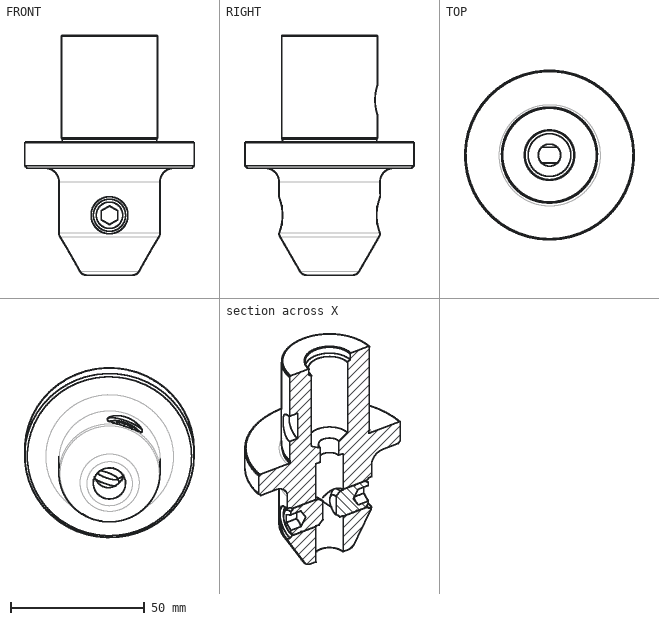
import cadquery as cq
import math

total_height = 90.0
flange_top = 50.0
flange_thickness = 10.0
flange_bottom = flange_top - flange_thickness

shank_radius = 18.0
shank_chamfer = 0.45
relief_depth = 0.3
relief_height = 1.4
relief_floor = 0.2
relief_outer_radius = 19.0

flange_radius = 31.8
flange_top_chamfer = 0.45
flange_bottom_chamfer = 1.0

body_radius = 19.0
body_fillet = 4.95
nose_angle = 30.0
nose_height = 15.1
nose_fillet = 3.0
nose_base_radius = body_radius - nose_height * math.tan(math.radians(nose_angle))

mouth_radius = 9.2
mouth_depth = 3.0
mouth_chamfer = 0.3
upper_bore_radius = 8.0
upper_bore_floor = 54.0
passage_radius = 4.1
drill_half_angle = 59.0
tool_bore_radius = 6.0
tool_bore_depth = 45.0

recess_radius = 5.7
recess_height = 65.7
recess_depth = 3.6

screw_height = 22.5
screw_radius = 6.0
screw_head = 17.4
screw_tip = 2.9
screw_head_chamfer = 1.1
screw_tip_chamfer = 1.8
socket_across_flats = 6.0
socket_depth = 4.5
seat_radius = 6.9
seat_floor = 17.6
screw_sides = [0, 180]


def cone_depth(large_radius, small_radius, half_angle):
    """Axial length of a cone that narrows between two radii."""
    return (large_radius - small_radius) / math.tan(math.radians(half_angle))


def revolve_about_z(profile):
    """Close a half profile drawn on the YZ plane and turn it about Z."""
    return profile.close().revolve(360, (0, 0, 0), (0, 1, 0))


def cylinder_along_y(radius, start, end, height):
    """Cylinder along Y on the -Y side, between two distances from the holder axis."""
    return (
        cq.Workplane("XZ", origin=(0, -end, height))
        .circle(radius)
        .extrude(start - end)
    )


def make_shank_and_flange():
    relief_radius = shank_radius - relief_depth
    return revolve_about_z(
        cq.Workplane("YZ")
        .moveTo(0, total_height)
        .lineTo(-(shank_radius - shank_chamfer), total_height)
        .lineTo(-shank_radius, total_height - shank_chamfer)
        .lineTo(-shank_radius, flange_top + relief_height)
        .lineTo(-relief_radius, flange_top + relief_height - 2 * relief_depth)
        .lineTo(-relief_radius, flange_top - relief_floor)
        .lineTo(-relief_outer_radius, flange_top)
        .lineTo(-(flange_radius - flange_top_chamfer), flange_top)
        .lineTo(-flange_radius, flange_top - flange_top_chamfer)
        .lineTo(-flange_radius, flange_bottom + flange_bottom_chamfer)
        .lineTo(-(flange_radius - flange_bottom_chamfer), flange_bottom)
        .lineTo(0, flange_bottom)
    )


def make_body_and_nose():
    blank = revolve_about_z(
        cq.Workplane("YZ")
        .moveTo(0, flange_bottom)
        .lineTo(-body_radius, flange_bottom)
        .lineTo(-body_radius, nose_height)
        .lineTo(-nose_base_radius, 0)
        .lineTo(0, 0)
    )
    cone_ends = blank.faces("%CONE").edges("%CIRCLE")
    return cone_ends.fillet(nose_fillet)


def make_body_fillet():
    """Ring that rounds the corner between the flange and the body."""
    outer = body_radius + body_fillet
    diagonal = body_fillet * (1 - math.sqrt(0.5))
    return revolve_about_z(
        cq.Workplane("YZ")
        .moveTo(-body_radius, flange_bottom)
        .lineTo(-outer, flange_bottom)
        .threePointArc(
            (-(body_radius + diagonal), flange_bottom - diagonal),
            (-body_radius, flange_bottom - body_fillet),
        )
    )


def make_axial_bore():
    ledge = total_height - mouth_depth
    bore_top = ledge - cone_depth(mouth_radius, upper_bore_radius, drill_half_angle)
    cone_end = upper_bore_floor - cone_depth(upper_bore_radius, passage_radius, drill_half_angle)
    return revolve_about_z(
        cq.Workplane("YZ")
        .moveTo(0, total_height)
        .lineTo(-(mouth_radius + mouth_chamfer), total_height)
        .lineTo(-mouth_radius, total_height - mouth_chamfer)
        .lineTo(-mouth_radius, ledge)
        .lineTo(-upper_bore_radius, bore_top)
        .lineTo(-upper_bore_radius, upper_bore_floor)
        .lineTo(-passage_radius, cone_end)
        .lineTo(-passage_radius, tool_bore_depth)
        .lineTo(-tool_bore_radius, tool_bore_depth)
        .lineTo(-tool_bore_radius, 0)
        .lineTo(0, 0)
    )


def make_screw_hole():
    """Hole on the -Y side, from the axis out through a countersunk seat."""
    countersink_start = seat_floor - (seat_radius - screw_radius)
    return (
        cq.Workplane("XY", origin=(0, 0, screw_height))
        .moveTo(0, 0)
        .lineTo(screw_radius, 0)
        .lineTo(screw_radius, -countersink_start)
        .lineTo(seat_radius, -seat_floor)
        .lineTo(seat_radius, -body_radius)
        .lineTo(0, -body_radius)
        .close()
        .revolve(360, (0, 0, 0), (0, 1, 0))
    )


def make_recess():
    hole = cylinder_along_y(recess_radius, shank_radius - recess_depth, shank_radius, recess_height)
    return hole.rotate((0, 0, 0), (0, 0, 1), 180)


def make_housing():
    housing = make_shank_and_flange().union(make_body_and_nose()).union(make_body_fillet())
    housing = housing.cut(make_axial_bore()).cut(make_recess())
    for turn in screw_sides:
        housing = housing.cut(make_screw_hole().rotate((0, 0, 0), (0, 0, 1), turn))
    return housing


def make_socket():
    """Hexagon socket of the -Y screw, with a conical floor."""
    corner_radius = socket_across_flats / math.sqrt(3)
    floor_depth = cone_depth(corner_radius, 0, drill_half_angle)
    hexagon = (
        cq.Workplane("XZ", origin=(0, -screw_head, screw_height))
        .polygon(6, 2 * corner_radius)
        .extrude(-(socket_depth + floor_depth))
        .rotate((0, 0, screw_height), (0, 1, screw_height), 30)
    )
    drill = (
        cq.Workplane("XY", origin=(0, -screw_head, screw_height))
        .moveTo(0, 0)
        .lineTo(corner_radius, 0)
        .lineTo(corner_radius, socket_depth)
        .lineTo(0, socket_depth + floor_depth)
        .close()
        .revolve(360, (0, 0, 0), (0, 1, 0))
    )
    return hexagon.intersect(drill)


def make_screw():
    """Clamping screw on the -Y side."""
    blank = cylinder_along_y(screw_radius, screw_tip, screw_head, screw_height)
    blank = blank.faces("<Y").chamfer(screw_head_chamfer)
    blank = blank.faces(">Y").chamfer(screw_tip_chamfer)
    return blank.cut(make_socket())


housing = make_housing()
screws = [make_screw().rotate((0, 0, 0), (0, 0, 1), turn) for turn in screw_sides]

result = cq.Compound.makeCompound([housing.val(), *[screw.val() for screw in screws]])